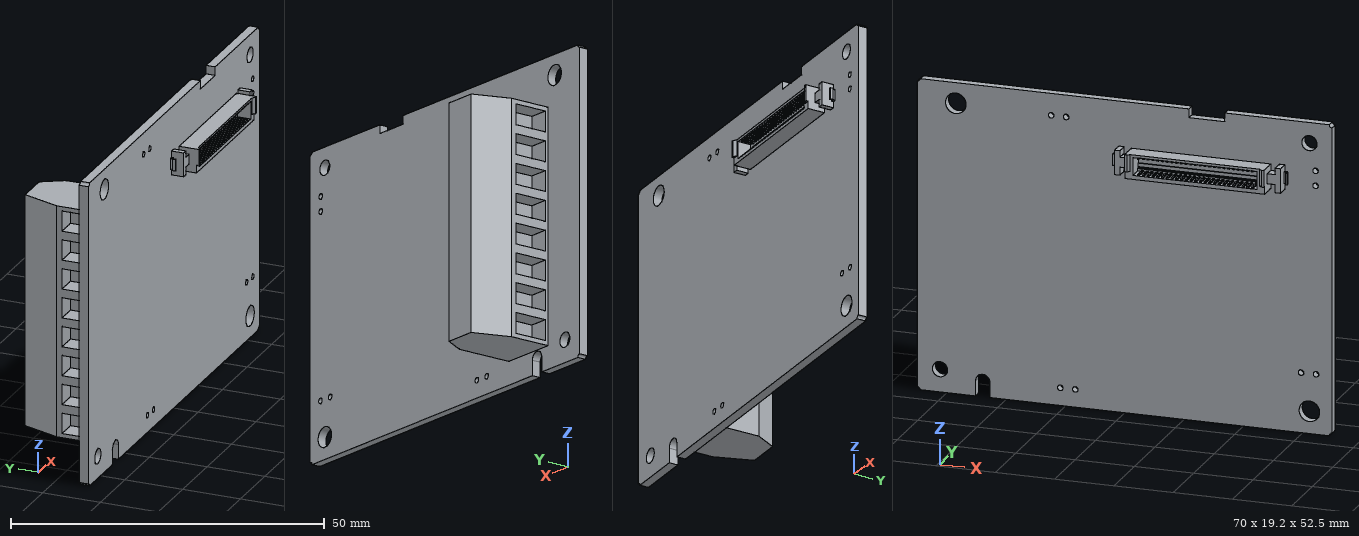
import cadquery as cq


board_length = 70.0
board_height = 52.5
board_thickness = 1.6
corner_radius = 0.5
notch_left = 10.85
notch_width = 6.0
notch_depth = 1.5
slot_x = -23.95
slot_width = 2.4
slot_depth = 3.8
large_hole_diameter = 3.4
large_hole_centers = [(-28.5, 22.75), (31.15, -22.5)]
mount_hole_diameter = 2.5
mount_hole_centers = [(31.15, 22.75), (-31.15, -22.4)]
pin_hole_diameter = 0.9
pin_pitch = 2.5
horizontal_pair_lefts = [(-12.4, 22.55), (-10.85, -23.25), (29.75, -16.1)]
vertical_pair_top = (32.2, 18.2)

terminal_count = 8
block_left = -26.8
block_width = 10.15
block_height = 40.05
block_top_z = 17.8
block_depth = 13.8
left_slope_start = 7.35
left_slope_run = 2.25
right_slope_start = 10.0
right_slope_run = 2.2
entry_height = 3.5
entry_width = 5.9
entry_offset = 0.55
entry_depth = 3.5

connector_x = 13.0
connector_z = 16.6
connector_depth = 3.8
housing_length = 23.5
housing_height = 4.1
standoff = 0.35
tab_rise = 0.4
tab_length = 0.85
tab_chamfer = 0.4
tab_bottom = -0.8
cavity_length = 20.9
cavity_top = 1.6
cavity_bottom = -1.4
cavity_depth = 2.3
floor_slot_half_height = 1.0
floor_slot_depth = 0.4
floor_slot_corner_run = 0.7
floor_slot_corner_drop = 0.4
ridge_height = 0.2
ridge_top = -0.15
ridge_bottom = -0.8
contact_count = 25
contact_row_length = 19.2
contact_width = 0.3
contact_setback = 0.2
contact_height = 0.2
flange_outer = 14.0
flange_width = 0.9
flange_depth = 2.1
web_top = 1.0
web_bottom = -0.7
base_bottom = -1.0
foot_spacing = 20.6
foot_diameters = {-1: 1.05, 1: 0.6}
clip_outer = 14.7
clip_thickness = 0.3
clip_depth = 1.0
clip_bend_depth = 0.5

contact_pitch = contact_row_length / (contact_count - 1)
rim_depth = connector_depth - tab_rise
housing_half = housing_length / 2
cavity_half = cavity_length / 2
flange_inner = flange_outer - flange_width
terminal_pitch = block_height / terminal_count
block_back = board_thickness + block_depth


def box(xs, ys, zs):
    """Box between two X, two Y and two Z positions, each pair in either order."""
    size = [abs(high - low) for low, high in (xs, ys, zs)]
    corner = tuple(min(pair) for pair in (xs, ys, zs))
    return cq.Workplane("XY").box(*size, centered=False).translate(corner)


def board_holes(centers, diameter):
    return cq.Workplane("XZ").pushPoints(centers).circle(diameter / 2).extrude(-board_thickness)


def make_board():
    half_x = board_length / 2
    half_z = board_height / 2
    board = cq.Workplane("XZ").rect(board_length, board_height).extrude(-board_thickness)

    corners = [(x, z) for x in (-half_x, half_x) for z in (-half_z, half_z)]
    board = board.cut(board_holes(corners, 2 * corner_radius))

    thickness = (0, board_thickness)
    board = board.cut(box((notch_left, notch_left + notch_width), thickness, (half_z - notch_depth, half_z)))

    slot_radius = slot_width / 2
    slot_center_z = -half_z + slot_depth - slot_radius
    board = board.cut(box((slot_x - slot_radius, slot_x + slot_radius), thickness, (-half_z, slot_center_z)))
    board = board.cut(board_holes([(slot_x, slot_center_z)], slot_width))

    board = board.cut(board_holes(large_hole_centers, large_hole_diameter))
    board = board.cut(board_holes(mount_hole_centers, mount_hole_diameter))

    pin_holes = [(x + step, z) for x, z in horizontal_pair_lefts for step in (0, pin_pitch)]
    pin_x, pin_z = vertical_pair_top
    pin_holes += [(pin_x, pin_z), (pin_x, pin_z - pin_pitch)]
    return board.cut(board_holes(pin_holes, pin_hole_diameter))


def make_terminal_block():
    block_right = block_left + block_width
    profile = [
        (block_left, board_thickness),
        (block_left, board_thickness + left_slope_start),
        (block_left + left_slope_run, block_back),
        (block_right - right_slope_run, block_back),
        (block_right, board_thickness + right_slope_start),
        (block_right, board_thickness),
    ]
    block_bottom_z = block_top_z - block_height
    block = cq.Workplane("XY", origin=(0, 0, block_bottom_z)).polyline(profile).close().extrude(block_height)

    entry_front = board_thickness + entry_offset
    for index in range(terminal_count):
        center_z = block_bottom_z + (index + 0.5) * terminal_pitch
        entry = box(
            (block_left, block_left + entry_depth),
            (entry_front, entry_front + entry_width),
            (center_z - entry_height / 2, center_z + entry_height / 2),
        )
        block = block.cut(entry)
    return block


def end_tab(side):
    """Chamfered tab on the housing rim at one end."""
    outer = side * housing_half
    inner = side * (housing_half - tab_length)
    crest = side * (housing_half - tab_length + tab_chamfer)
    profile = [(outer, -rim_depth), (outer, -connector_depth), (crest, -connector_depth), (inner, -rim_depth)]
    tab_height = housing_height / 2 - tab_bottom
    return cq.Workplane("XY", origin=(0, 0, tab_bottom)).polyline(profile).close().extrude(tab_height)


def cavity_floor_slot(floor_y):
    """Slot in the cavity floor with its two upper corners cut off and a low ridge left along it."""
    corner_x = cavity_half - floor_slot_corner_run
    corner_z = floor_slot_half_height - floor_slot_corner_drop
    outline = [
        (-cavity_half, -floor_slot_half_height),
        (-cavity_half, corner_z),
        (-corner_x, floor_slot_half_height),
        (corner_x, floor_slot_half_height),
        (cavity_half, corner_z),
        (cavity_half, -floor_slot_half_height),
    ]
    slot_back = floor_y + floor_slot_depth
    slot = cq.Workplane("XZ", origin=(0, floor_y, 0)).polyline(outline).close().extrude(-floor_slot_depth)
    ridge = box((-cavity_half, cavity_half), (slot_back - ridge_height, slot_back), (ridge_bottom, ridge_top))
    return slot.cut(ridge)


def contact_pair(x, floor_y):
    """Facing contacts on the upper and lower cavity walls."""
    xs = (x - contact_width / 2, x + contact_width / 2)
    ys = (floor_y, -rim_depth + contact_setback)
    upper = box(xs, ys, (cavity_top - contact_height, cavity_top))
    lower = box(xs, ys, (cavity_bottom, cavity_bottom + contact_height))
    return upper, lower


def solder_clip(side):
    """L-shaped clip outside one flange, with its outer bend cut off at an angle."""
    leg_inner = clip_outer - clip_thickness
    profile = [
        (side * flange_outer, 0),
        (side * leg_inner, 0),
        (side * clip_outer, -clip_bend_depth),
        (side * clip_outer, -clip_depth),
        (side * leg_inner, -clip_depth),
        (side * leg_inner, -standoff),
        (side * flange_outer, -standoff),
    ]
    clip = cq.Workplane("XY", origin=(0, 0, base_bottom)).polyline(profile).close()
    return clip.extrude(web_top - base_bottom)


def connector_end(side):
    """Web, flange and locating foot at one end."""
    web = box((side * housing_half, side * flange_inner), (-standoff, -flange_depth), (web_bottom, web_top))
    flange = box(
        (side * flange_inner, side * flange_outer),
        (0, -flange_depth),
        (-housing_height / 2, housing_height / 2),
    )
    foot_x = side * foot_spacing / 2
    foot = cq.Workplane("XZ").center(foot_x, 0).circle(foot_diameters[side] / 2).extrude(standoff)
    return web, flange, foot


def make_connector():
    """Connector built about its own middle and then moved onto the board."""
    floor_y = -rim_depth + cavity_depth
    half_height = housing_height / 2
    connector = box((-housing_half, housing_half), (-standoff, -rim_depth), (-half_height, half_height))

    connector = connector.union(box((-flange_inner, flange_inner), (0, -standoff), (base_bottom, 0)))

    connector = connector.cut(
        box((-cavity_half, cavity_half), (floor_y, -rim_depth), (cavity_bottom, cavity_top))
    )
    connector = connector.cut(cavity_floor_slot(floor_y))

    for side in (-1, 1):
        connector = connector.union(end_tab(side)).union(solder_clip(side))
        for piece in connector_end(side):
            connector = connector.union(piece)

    first_contact_x = -contact_row_length / 2
    for index in range(contact_count):
        for contact in contact_pair(first_contact_x + index * contact_pitch, floor_y):
            connector = connector.union(contact)
    return connector.translate((connector_x, 0, connector_z))


board = make_board()
terminal_block = make_terminal_block()
connector = make_connector()

result = cq.Compound.makeCompound([board.val(), terminal_block.val(), connector.val()])